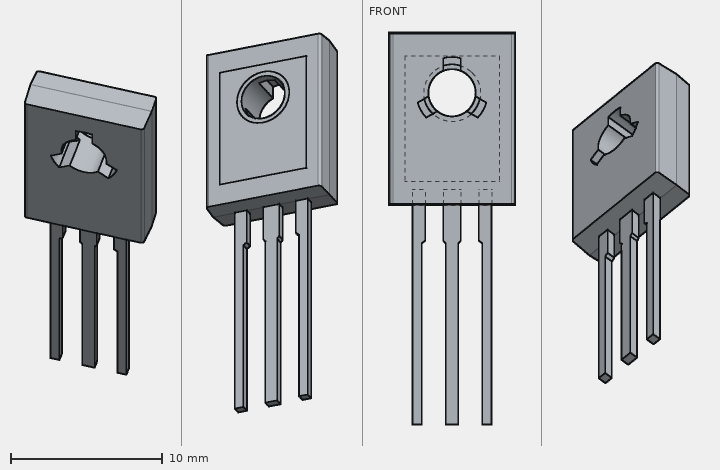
import cadquery as cq
import math

total_height = 25.93
housing_width = 8.38
housing_height = 11.4
housing_depth = 3.03
back_depth = 1.35
front_depth = housing_depth - back_depth
draft_angle = 3.0
edge_radius = 0.18
housing_bottom = total_height - housing_height
housing_mid = total_height - housing_height / 2

hole_diameter = 3.1
hole_z = total_height - 4.0
notch_width = 1.15
notch_radius = 2.35
notch_count = 3

tab_thickness = 0.67
tab_width = 6.22
tab_height = 8.3
tab_hole_diameter = 3.75
tab_front = back_depth - tab_thickness

lead_thickness = 0.62
lead_insertion = 1.05
lead_top = housing_bottom + lead_insertion
neck_top = 12.15
neck_bottom = 11.98
middle_wide = 1.17
middle_narrow = 0.85
side_outer_x = 2.62
side_wide = 0.85
side_narrow = 0.62


def y_cylinder(diameter, y_start, y_end):
    """Cylinder on the mounting hole axis between two Y planes."""
    return (
        cq.Workplane("XZ", origin=(0, y_start, hole_z))
        .circle(diameter / 2)
        .extrude(y_start - y_end)
    )


def drafted_half(depth, direction):
    """Half of the housing, tapering from the parting plane towards one face."""
    half = (
        cq.Workplane("XZ", origin=(0, 0, housing_mid))
        .rect(housing_width, housing_height)
        .extrude(-direction * depth, taper=draft_angle)
    )
    inset = depth * math.tan(math.radians(draft_angle))
    for side in (-1, 1):
        edge_point = (side * (housing_width / 2 - inset), direction * depth, housing_mid)
        half = half.edges(cq.selectors.NearestToPointSelector(edge_point)).fillet(edge_radius)
    return half


def make_notches():
    """Radial slots with rounded ends, evenly spaced around the hole from straight up."""
    slot = cq.Workplane("XY").box(
        notch_width, front_depth + tab_front, notch_radius, centered=(True, False, False)
    ).translate((0, -front_depth, hole_z))
    slots = slot
    for index in range(1, notch_count):
        angle = index * 360 / notch_count
        slots = slots.union(slot.rotate((0, 0, hole_z), (0, 1, hole_z), angle))
    return slots.intersect(y_cylinder(2 * notch_radius, -front_depth, tab_front))


def make_tab():
    plate = cq.Workplane("XY").box(
        tab_width, tab_thickness, tab_height, centered=(True, False, True)
    ).translate((0, tab_front, housing_mid))
    return plate.cut(y_cylinder(tab_hole_diameter, tab_front, back_depth))


def make_lead(wide_left, wide_right, narrow_left, narrow_right):
    """Flat lead, given the X of its edges above and below the neck."""
    outline = [
        (narrow_left, 0),
        (narrow_right, 0),
        (narrow_right, neck_bottom),
        (wide_right, neck_top),
        (wide_right, lead_top),
        (wide_left, lead_top),
        (wide_left, neck_top),
        (narrow_left, neck_bottom),
    ]
    return cq.Workplane("XZ").polyline(outline).close().extrude(lead_thickness)


def make_side_lead():
    """Left-hand lead, with a straight outer edge and a neck on its inner edge only."""
    left = -side_outer_x
    return make_lead(left, left + side_wide, left, left + side_narrow)


def make_leads():
    middle = make_lead(-middle_wide / 2, middle_wide / 2, -middle_narrow / 2, middle_narrow / 2)
    left = make_side_lead()
    return [left, middle, left.mirror("YZ")]


def make_housing(tab, leads):
    """Moulded housing with the hole, the notches and recesses for the metal parts."""
    housing = drafted_half(front_depth, -1).union(drafted_half(back_depth, 1))
    housing = housing.cut(y_cylinder(hole_diameter, -front_depth, back_depth))
    housing = housing.cut(make_notches())
    for insert in [tab, *leads]:
        housing = housing.cut(insert)
    return housing


tab = make_tab()
leads = make_leads()
housing = make_housing(tab, leads)

result = cq.Compound.makeCompound([
    housing.solids().val(),
    tab.solids().val(),
    *[lead.val() for lead in leads],
])